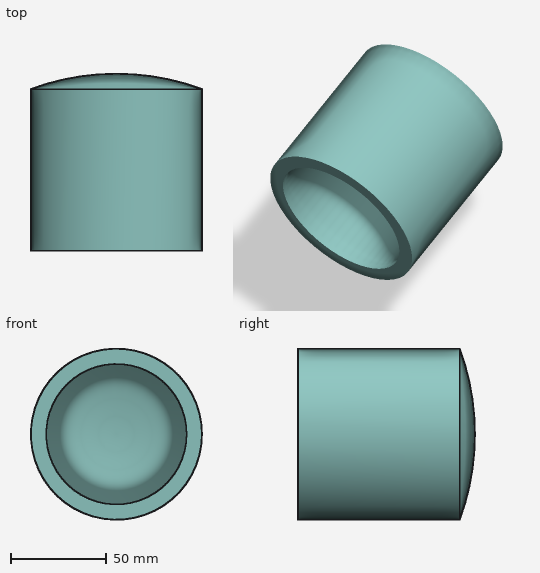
import cadquery as cq
import math

total_length = 93.1
outer_radius = 90.0 / 2
wall = 8.1
dome_height = 8.1

outer_dome_radius = (outer_radius**2 + dome_height**2) / (2 * dome_height)
inner_dome_radius = outer_dome_radius - wall
dome_center_y = total_length - outer_dome_radius


def domed_cylinder(radius, dome_radius):
    """Solid cylinder about the Y axis, from y = 0 to a spherical end."""
    apex_y = dome_center_y + dome_radius
    rim_y = dome_center_y + math.sqrt(dome_radius**2 - radius**2)
    mid_y = dome_center_y + math.sqrt(dome_radius**2 - (radius / 2) ** 2)
    return (
        cq.Workplane("XY")
        .lineTo(radius, 0)
        .lineTo(radius, rim_y)
        .threePointArc((radius / 2, mid_y), (0, apex_y))
        .close()
        .revolve(360, (0, 0, 0), (0, 1, 0))
    )


body = domed_cylinder(outer_radius, outer_dome_radius)
cavity = domed_cylinder(outer_radius - wall, inner_dome_radius)
result = body.cut(cavity)